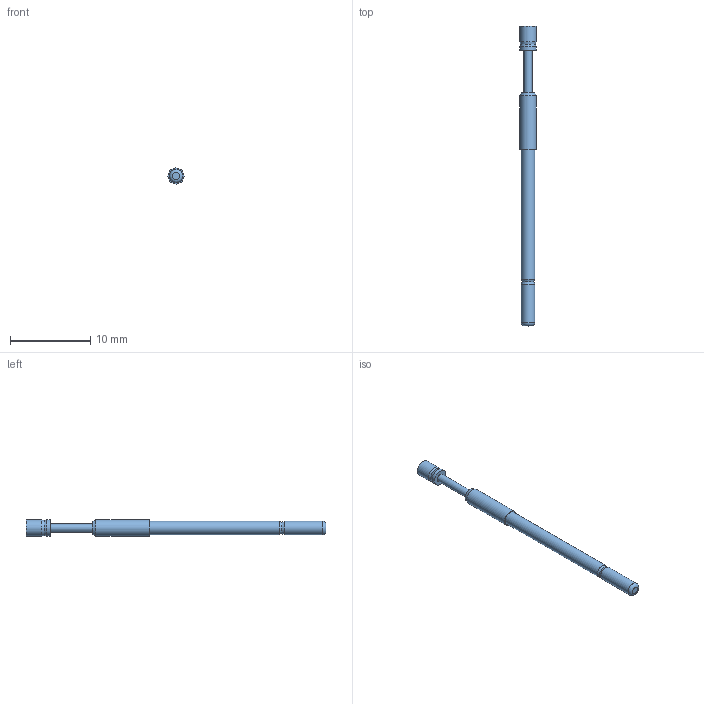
import cadquery as cq
import math

total_length = 37.3

head_radius = 1.0
head_length = 3.0
head_groove_depth = 0.08
head_groove_start = 1.95
head_groove_width = 0.65

stem_radius = 0.5

collar_radius = 1.0
collar_start = 8.25
collar_end = 15.3
collar_chamfer_length = 0.45
collar_face_radius = 0.84

barrel_radius = 0.84

crimp_radius = 0.74
crimp_start = 31.5
crimp_bottom = 31.8
crimp_end = 32.1

tail_fillet = 0.39

head_face_y = total_length / 2


def y_at(station):
    """Y coordinate of a distance from the head face."""
    return head_face_y - station


def head_outline(outline):
    """Cylindrical head with a shallow V groove."""
    groove_middle = head_groove_start + head_groove_width / 2
    groove_end = head_groove_start + head_groove_width
    return (
        outline.lineTo(head_radius, y_at(0))
        .lineTo(head_radius, y_at(head_groove_start))
        .lineTo(head_radius - head_groove_depth, y_at(groove_middle))
        .lineTo(head_radius, y_at(groove_end))
        .lineTo(head_radius, y_at(head_length))
    )


def stem_outline(outline):
    """Thin stem from the back of the head to the collar face."""
    return (
        outline.lineTo(stem_radius, y_at(head_length))
        .lineTo(stem_radius, y_at(collar_start))
    )


def collar_outline(outline):
    """Press-fit collar with a tapered leading edge."""
    return (
        outline.lineTo(collar_face_radius, y_at(collar_start))
        .lineTo(collar_radius, y_at(collar_start + collar_chamfer_length))
        .lineTo(collar_radius, y_at(collar_end))
    )


def barrel_outline(outline):
    """Barrel with a crimp groove and a rounded tail."""
    fillet_start = total_length - tail_fillet
    tail_face_radius = barrel_radius - tail_fillet
    fillet_middle = (
        tail_face_radius + tail_fillet * math.cos(math.pi / 4),
        y_at(fillet_start + tail_fillet * math.sin(math.pi / 4)),
    )
    return (
        outline.lineTo(barrel_radius, y_at(collar_end))
        .lineTo(barrel_radius, y_at(crimp_start))
        .lineTo(crimp_radius, y_at(crimp_bottom))
        .lineTo(barrel_radius, y_at(crimp_end))
        .lineTo(barrel_radius, y_at(fillet_start))
        .threePointArc(fillet_middle, (tail_face_radius, y_at(total_length)))
        .lineTo(0, y_at(total_length))
    )


outline = cq.Workplane("XY").moveTo(0, y_at(0))
for add_section in (head_outline, stem_outline, collar_outline, barrel_outline):
    outline = add_section(outline)

result = outline.close().revolve(360, (0, 0, 0), (0, 1, 0))